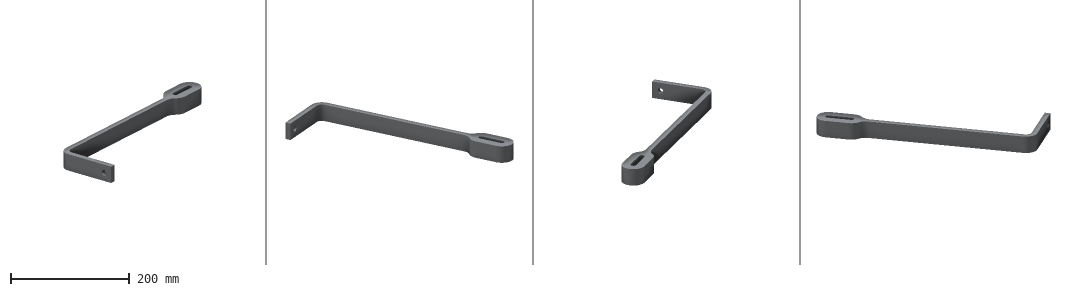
import cadquery as cq
import math

overall_length = 379.5
overall_width = 125.0
height = 30.0
bar_thickness = 10.0
head_width = 40.0
slot_center_spacing = 40.0
slot_width = 10.0
neck_radius = 20.0
bend_inner_radius = 10.0
hole_diameter = 10.0
hole_end_distance = 15.0

head_radius = head_width / 2
half_bar = bar_thickness / 2
leg_end_x = overall_width - head_radius
head_top_y = overall_length - head_radius
head_bottom_y = head_top_y - slot_center_spacing
head_middle_y = (head_top_y + head_bottom_y) / 2
bend_outer_radius = bend_inner_radius + bar_thickness
bend_center_x = bend_inner_radius + half_bar

neck_center_x = half_bar + neck_radius
neck_center_distance = head_radius + neck_radius
neck_drop = math.sqrt(neck_center_distance**2 - neck_center_x**2)
neck_center_y = head_bottom_y - neck_drop
tangent_share = head_radius / neck_center_distance
tangent_x = neck_center_x * tangent_share
tangent_y = head_bottom_y - neck_drop * tangent_share


def make_head():
    """Rounded head of the bar, without its slot."""
    return (
        cq.Workplane("XY")
        .center(0, head_middle_y)
        .slot2D(slot_center_spacing + head_width, head_width, 90)
        .extrude(height)
    )


def make_neck():
    """Flare that blends the bar into the head with two concave arcs."""
    return (
        cq.Workplane("XY")
        .moveTo(-half_bar, neck_center_y)
        .lineTo(half_bar, neck_center_y)
        .radiusArc((tangent_x, tangent_y), neck_radius)
        .lineTo(0, head_bottom_y)
        .lineTo(-tangent_x, tangent_y)
        .radiusArc((-half_bar, neck_center_y), neck_radius)
        .close()
        .extrude(height)
    )


def make_bent_bar():
    """Long bar bent through a right angle into the short leg."""
    return (
        cq.Workplane("XY")
        .moveTo(-half_bar, neck_center_y)
        .lineTo(-half_bar, bend_outer_radius)
        .radiusArc((bend_center_x, 0), -bend_outer_radius)
        .lineTo(leg_end_x, 0)
        .lineTo(leg_end_x, bar_thickness)
        .lineTo(bend_center_x, bar_thickness)
        .radiusArc((half_bar, bend_outer_radius), bend_inner_radius)
        .lineTo(half_bar, neck_center_y)
        .close()
        .extrude(height)
    )


def make_slot_cutter():
    """Long slot through the head."""
    return (
        cq.Workplane("XY")
        .center(0, head_middle_y)
        .slot2D(slot_center_spacing + slot_width, slot_width, 90)
        .extrude(height)
    )


def make_hole_cutter():
    """Round hole through the leg near its free end."""
    return (
        cq.Workplane("XZ")
        .center(leg_end_x - hole_end_distance, height / 2)
        .circle(hole_diameter / 2)
        .extrude(-bar_thickness)
    )


body = make_head().union(make_neck()).union(make_bent_bar())
result = body.cut(make_slot_cutter()).cut(make_hole_cutter())